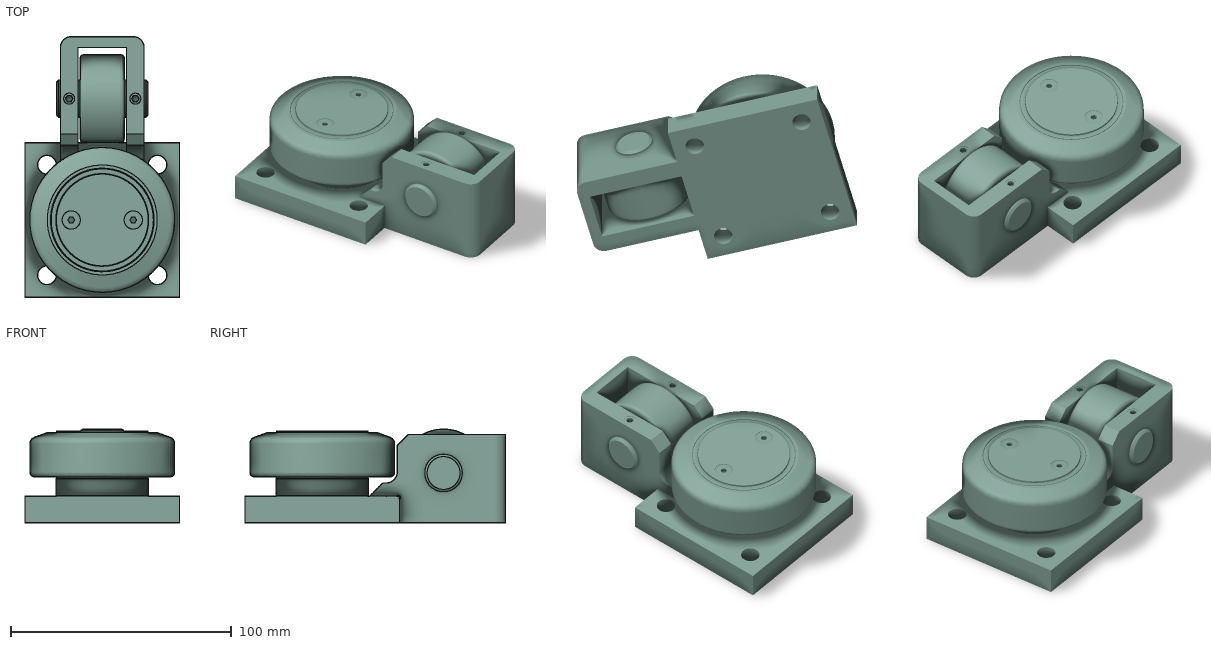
import cadquery as cq
import math


plate_side = 70.0
plate_height = 12.0
plate_hole_diameter = 8.4
plate_hole_offset = 25.0

main_radius = 32.8
main_bottom = 20.8
main_top = 40.8
main_lower_round = 2.0
main_upper_round = 3.0
main_top_radius = 24.9
shoulder_slope = math.radians(20)
shaft_radius = 21.0
shaft_top = 41.5
shaft_collar_top = 20.1
shaft_collar_chamfer = 0.2
shaft_end_radius = shaft_radius - shaft_collar_chamfer
shaft_gap_depth = 0.5
seal_outer_diameter = 47.0
seal_gap = 0.4
seal_depth = 0.5
screw_diameter = 8.3
screw_offset = 14.0
screw_sink = 0.2
screw_socket_corners = 3.0
screw_socket_depth = 1.8

fork_width = 38.0
fork_height = 40.0
slot_width = 22.0
web_thickness = 5.0
fork_corner_radius = 5.0
fork_nose_chamfer = 5.0
overhang = 1.1
throat_radius = 5.0
foot_height = 18.0
foot_length = 7.5
relief_radius = 1.0
relief_inset = 0.6

side_radius = 20.0
side_width = 20.0
side_edge_round = 1.5
axle_diameter = 17.0
axle_length = 41.5
axle_chamfer = 1.1
axle_height = 22.5
axle_setback = 20.0
set_screw_diameter = 5.0
set_screw_offset = 15.0
set_screw_sink = 0.2
set_screw_socket_flats = 3.0
set_screw_socket_depth = 2.4
set_screw_cone_depth = 0.8

crown_radius = 500.3
overall_length = 118.0

plate_edge = plate_side / 2
fork_end = overall_length - plate_edge
axle_y = plate_edge + axle_setback
main_middle = (main_bottom + main_top) / 2


def crown_drop(distance):
    """Loss of radius at a distance from the middle of a crowned roller."""
    return crown_radius - math.sqrt(crown_radius**2 - distance**2)


def cylinder(radius, bottom, top):
    return cq.Workplane("XY").workplane(offset=bottom).circle(radius).extrude(top - bottom)


def ring(outer_radius, inner_radius, bottom, top):
    return cylinder(outer_radius, bottom, top).cut(cylinder(inner_radius, bottom, top))


def make_main_roller():
    """Crowned disc with a sloped shoulder, a seal groove and a gap around the shaft."""
    rim_bottom_radius = main_radius - crown_drop(main_middle - main_bottom)
    rim_top = main_top - (main_radius - main_top_radius) * math.tan(shoulder_slope)
    rim_top_radius = main_radius - crown_drop(rim_top - main_middle)
    roller = (
        cq.Workplane("XZ")
        .moveTo(0, main_bottom)
        .lineTo(rim_bottom_radius, main_bottom)
        .threePointArc((main_radius, main_middle), (rim_top_radius, rim_top))
        .lineTo(main_top_radius, main_top)
        .lineTo(0, main_top)
        .close()
        .revolve(360, (0, 0, 0), (0, 1, 0))
    )
    roller = roller.faces("<Z").edges().fillet(main_lower_round)
    roller = roller.faces("%CONE").edges("<Z").fillet(main_upper_round)
    seal_outer = seal_outer_diameter / 2
    seal_groove = ring(seal_outer, seal_outer - seal_gap, main_top - seal_depth, main_top)
    shaft_gap = ring(shaft_radius, shaft_end_radius, main_top - shaft_gap_depth, main_top)
    return roller.cut(seal_groove).cut(shaft_gap)


def make_shaft():
    collar = cylinder(shaft_radius, plate_height, shaft_collar_top)
    collar = collar.faces("<Z or >Z").edges().chamfer(shaft_collar_chamfer)
    return collar.union(cylinder(shaft_end_radius, plate_height, shaft_top))


def cut_shaft_screws(body):
    places = [(-screw_offset, 0), (screw_offset, 0)]
    top = cq.Workplane("XY").workplane(offset=shaft_top).pushPoints(places)
    heads = top.circle(screw_diameter / 2).extrude(-screw_sink)
    sockets = top.polygon(6, screw_socket_corners).extrude(-screw_socket_depth)
    return body.cut(heads).cut(sockets)


def make_roller_plate():
    """Base plate with the main roller on its stub shaft."""
    plate = (
        cq.Workplane("XY")
        .rect(plate_side, plate_side)
        .extrude(plate_height)
        .faces(">Z")
        .workplane()
        .rect(2 * plate_hole_offset, 2 * plate_hole_offset, forConstruction=True)
        .vertices()
        .hole(plate_hole_diameter)
    )
    return cut_shaft_screws(plate.union(make_shaft()).union(make_main_roller()))


def make_fork():
    nose = plate_edge - overhang
    foot_end = plate_edge - foot_length
    throat_start = nose - throat_radius
    throat_middle = throat_radius * (1 - math.sqrt(0.5))
    side = (
        cq.Workplane("YZ")
        .moveTo(plate_edge, 0)
        .lineTo(fork_end, 0)
        .lineTo(fork_end, fork_height)
        .lineTo(nose + fork_nose_chamfer, fork_height)
        .lineTo(nose, fork_height - fork_nose_chamfer)
        .lineTo(nose, foot_height + throat_radius)
        .threePointArc((nose - throat_middle, foot_height + throat_middle), (throat_start, foot_height))
        .lineTo(foot_end, foot_height)
        .lineTo(foot_end - (foot_height - plate_height), plate_height)
        .lineTo(plate_edge, plate_height)
        .close()
        .extrude(fork_width / 2, both=True)
    )
    side = side.edges("|Z and >Y").fillet(fork_corner_radius)
    slot = cq.Workplane("XY").box(
        slot_width, fork_end - web_thickness, fork_height, centered=(True, False, False)
    )
    relief = (
        cq.Workplane("YZ")
        .center(plate_edge - relief_inset, plate_height - relief_inset)
        .circle(relief_radius)
        .extrude(fork_width / 2, both=True)
    )
    return side.cut(slot).cut(relief)


def make_side_roller():
    half_width = side_width / 2
    end_radius = side_radius - crown_drop(half_width)
    roller = (
        cq.Workplane("XY")
        .moveTo(-half_width, 0)
        .lineTo(-half_width, end_radius)
        .threePointArc((0, side_radius), (half_width, end_radius))
        .lineTo(half_width, 0)
        .close()
        .revolve(360, (0, 0, 0), (1, 0, 0))
    )
    roller = roller.faces("<X or >X").edges().fillet(side_edge_round)
    return roller.translate((0, axle_y, axle_height))


def make_axle():
    axle = cq.Workplane("YZ").circle(axle_diameter / 2).extrude(axle_length / 2, both=True)
    axle = axle.faces("<X or >X").edges().chamfer(axle_chamfer)
    return axle.translate((0, axle_y, axle_height))


def make_set_screw_recess():
    """Sunk screw end with a hexagon socket that finishes in a cone."""
    end_height = fork_height - set_screw_sink
    socket_bottom = end_height - set_screw_socket_depth
    sink = cylinder(set_screw_diameter / 2, end_height, fork_height)
    corner_diameter = set_screw_socket_flats / math.cos(math.pi / 6)
    socket = cq.Workplane("XY").workplane(offset=socket_bottom).polygon(6, corner_diameter)
    cone = cq.Workplane(
        cq.Solid.makeCone(
            set_screw_socket_flats / 2, 0, set_screw_cone_depth,
            pnt=cq.Vector(0, 0, socket_bottom), dir=cq.Vector(0, 0, -1),
        )
    )
    return sink.union(socket.extrude(set_screw_socket_depth)).union(cone)


def make_roller_fork():
    """Fork that carries the side roller on its axle."""
    body = make_fork().union(make_axle()).union(make_side_roller())
    recess = make_set_screw_recess()
    for x in (-set_screw_offset, set_screw_offset):
        body = body.cut(recess.translate((x, axle_y, 0)))
    return body


roller_plate = make_roller_plate()
roller_fork = make_roller_fork()

result = cq.Compound.makeCompound([roller_plate.solids().val(), roller_fork.solids().val()])